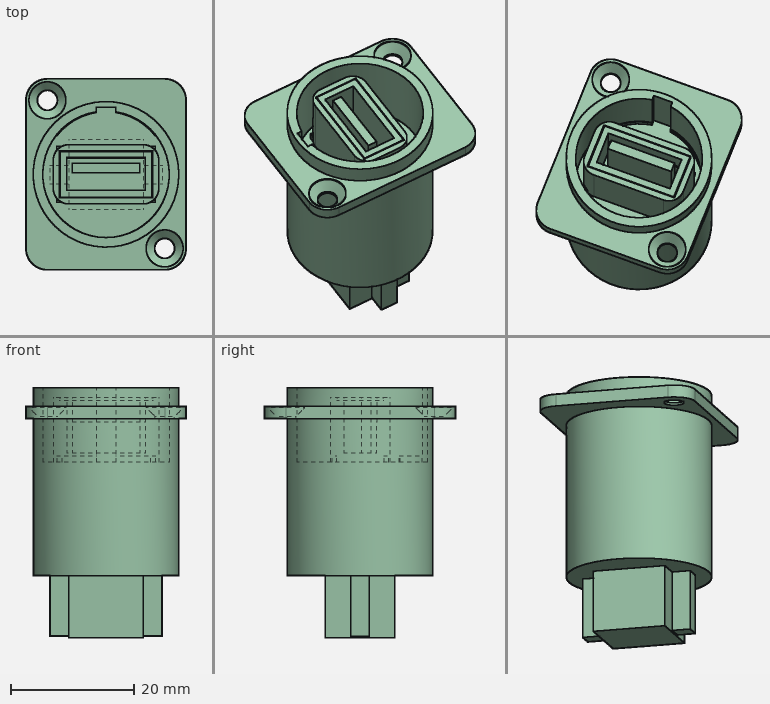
import cadquery as cq

FLANGE_WIDTH = 26.0
FLANGE_LENGTH = 31.0
FLANGE_THICKNESS = 2.0
FLANGE_CORNER_RADIUS = 3.5
SCREW_OFFSET_X = 9.5
SCREW_OFFSET_Y = 12.0
SCREW_HOLE_DIAMETER = 3.2
COUNTERSINK_DIAMETER = 6.0
COUNTERSINK_DEPTH = (COUNTERSINK_DIAMETER - SCREW_HOLE_DIAMETER) / 2
COUNTERSINK_LIP = 0.2

BARREL_DIAMETER = 23.6
RIM_HEIGHT = 3.0
BARREL_BOTTOM = -27.45
SOCKET_DIAMETER = 20.5
SOCKET_DEPTH = 12.0
SOCKET_FLOOR = RIM_HEIGHT - SOCKET_DEPTH

KEY_WIDTH = 3.2
KEY_REACH = 10.9

STEP_HEIGHT = 1.0
STEP_INNER_DIAMETER = 20.3
PLINTH_WIDTH = 16.0
PLINTH_LENGTH = 9.1

BOSS_WIDTH = 17.1
BOSS_LENGTH = 9.6
BOSS_CORNER_RADIUS = 2.5
BOSS_RECESS = 1.55
BOSS_TOP = RIM_HEIGHT - BOSS_RECESS

SHELL_WIDTH = 15.1
SHELL_LENGTH = 7.6
SEAM_WIDTH = 0.1
SEAM_DEPTH = 0.5
CAVITY_WIDTH = 12.7
CAVITY_FRONT = -2.6
CAVITY_BACK = 2.75
CAVITY_DEPTH = 9.0
CAVITY_LEDGE_LENGTH = 0.15
CAVITY_LEDGE_DEPTH = 4.0
TONGUE_WIDTH = 11.0
TONGUE_LENGTH = 1.55
TONGUE_OFFSET_Y = 1.0

PLUG_WIDTH = 12.1
PLUG_LENGTH = 11.3
PLUG_BOTTOM = -37.55
WINGS_WIDTH = 18.2
WING_LENGTH = 3.0
WING_BOTTOM = -37.25


def block(width, length, bottom, top, center_y=0.0):
    """Box centred on X = 0 between two heights."""
    return (
        cq.Workplane("XY", origin=(0, center_y, bottom))
        .rect(width, length)
        .extrude(top - bottom)
    )


def cylinder(diameter, bottom, top):
    """Upright cylinder on the Z axis between two heights."""
    return cq.Workplane("XY", origin=(0, 0, bottom)).circle(diameter / 2).extrude(top - bottom)


def make_screw_hole(x, y):
    """Cutter for a through hole with a cone and a short straight lip above it."""
    hole_radius = SCREW_HOLE_DIAMETER / 2
    head_radius = COUNTERSINK_DIAMETER / 2
    cone_top = -COUNTERSINK_LIP
    cone_bottom = cone_top - COUNTERSINK_DEPTH
    half_section = [
        (0, -FLANGE_THICKNESS),
        (hole_radius, -FLANGE_THICKNESS),
        (hole_radius, cone_bottom),
        (head_radius, cone_top),
        (head_radius, 0),
        (0, 0),
    ]
    return (
        cq.Workplane("XZ")
        .polyline(half_section)
        .close()
        .revolve(360, (0, 0), (0, 1))
        .translate((x, y, 0))
    )


def make_flange():
    plate = block(FLANGE_WIDTH, FLANGE_LENGTH, -FLANGE_THICKNESS, 0)
    plate = plate.edges("|Z").fillet(FLANGE_CORNER_RADIUS)
    for side in (-1, 1):
        plate = plate.cut(make_screw_hole(side * SCREW_OFFSET_X, -side * SCREW_OFFSET_Y))
    return plate


def make_wall_step():
    """Crescent against the socket wall, as wide as the plinth."""
    top = SOCKET_FLOOR + STEP_HEIGHT
    ring = cylinder(SOCKET_DIAMETER, SOCKET_FLOOR, top).cut(
        cylinder(STEP_INNER_DIAMETER, SOCKET_FLOOR, top)
    )
    reach = SOCKET_DIAMETER / 2
    return ring.intersect(block(PLINTH_WIDTH, reach, SOCKET_FLOOR, top, reach / 2))


def make_key_slot():
    return block(KEY_WIDTH, KEY_REACH, SOCKET_FLOOR, RIM_HEIGHT, KEY_REACH / 2)


def make_receptacle():
    """Boss on its plinth, with the shell seam, the cavity and the tongue."""
    boss = block(BOSS_WIDTH, BOSS_LENGTH, SOCKET_FLOOR, BOSS_TOP)
    boss = boss.edges("|Z").fillet(BOSS_CORNER_RADIUS)
    plinth = block(PLINTH_WIDTH, PLINTH_LENGTH, SOCKET_FLOOR, SOCKET_FLOOR + STEP_HEIGHT)

    seam_bottom = BOSS_TOP - SEAM_DEPTH
    seam = block(SHELL_WIDTH, SHELL_LENGTH, seam_bottom, BOSS_TOP).cut(
        block(SHELL_WIDTH - 2 * SEAM_WIDTH, SHELL_LENGTH - 2 * SEAM_WIDTH, seam_bottom, BOSS_TOP)
    )
    cavity_bottom = BOSS_TOP - CAVITY_DEPTH
    cavity_length = CAVITY_BACK - CAVITY_FRONT
    cavity_center = (CAVITY_BACK + CAVITY_FRONT) / 2
    cavity = block(CAVITY_WIDTH, cavity_length, cavity_bottom, BOSS_TOP, cavity_center)
    ledge_top = BOSS_TOP - CAVITY_LEDGE_DEPTH
    ledge_center = CAVITY_BACK - CAVITY_LEDGE_LENGTH / 2
    ledge = block(CAVITY_WIDTH, CAVITY_LEDGE_LENGTH, cavity_bottom, ledge_top, ledge_center)
    tongue = block(TONGUE_WIDTH, TONGUE_LENGTH, cavity_bottom, BOSS_TOP, TONGUE_OFFSET_Y)
    return boss.union(plinth).cut(seam).cut(cavity).union(ledge).union(tongue)


def make_plug():
    body = block(PLUG_WIDTH, PLUG_LENGTH, PLUG_BOTTOM, BARREL_BOTTOM)
    wings = block(WINGS_WIDTH, WING_LENGTH, WING_BOTTOM, BARREL_BOTTOM)
    return body.union(wings)


barrel = cylinder(BARREL_DIAMETER, BARREL_BOTTOM, RIM_HEIGHT)
socket = cylinder(SOCKET_DIAMETER, SOCKET_FLOOR, RIM_HEIGHT)

result = (
    make_flange()
    .union(barrel)
    .cut(socket)
    .union(make_wall_step())
    .cut(make_key_slot())
    .union(make_receptacle())
    .union(make_plug())
)